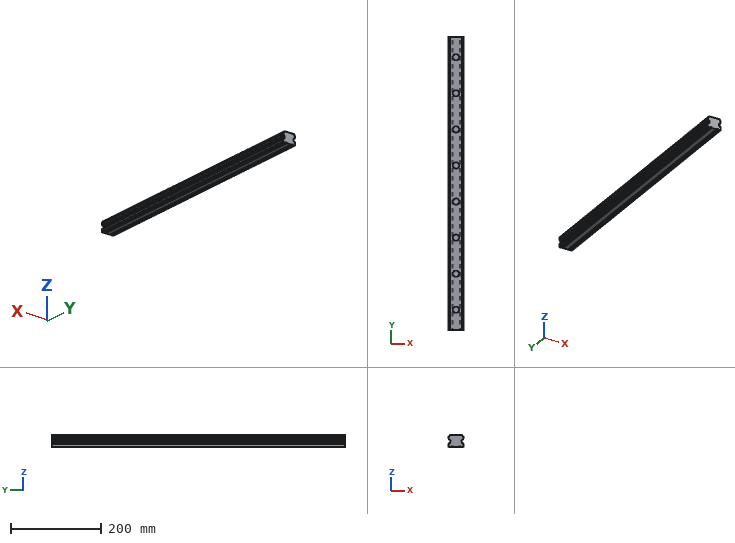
import cadquery as cq

rail_length = 650.0
rail_width = 34.0
rail_height = 27.5

half_width = rail_width / 2
top_half_width = 12.6
crown_half_width = 14.3
crown_height = 26.3
head_side_top = 22.9
head_side_bottom = 20.3
corner_groove_sag = 0.7

shoulder_half_width = 14.9
shoulder_height = 16.6
waist_half_width = 12.5
waist_top = 15.0
waist_bottom = 12.5
neck_half_width = 13.3
neck_height = 10.2

foot_side_top = 7.0
foot_chamfer = 1.5

groove_offset = 8.5
groove_width = 2.6
groove_depth = 1.5

hole_count = 8
hole_pitch = 80.0
hole_diameter = 14.0
recess_depth = 0.5


def make_rail():
    """Extrude the symmetric rail cross-section along Y, centred on the origin."""
    right_side = [
        (half_width - foot_chamfer, 0),
        (half_width, foot_chamfer),
        (half_width, foot_side_top),
        (neck_half_width, neck_height),
        (neck_half_width, waist_bottom),
        (waist_half_width, waist_bottom),
        (waist_half_width, waist_top),
        (shoulder_half_width, shoulder_height),
        (half_width, head_side_bottom),
        (half_width, head_side_top),
    ]
    left_side = [(-x, z) for x, z in reversed(right_side)]
    section = (
        cq.Workplane("XZ")
        .polyline(right_side)
        .sagittaArc((crown_half_width, crown_height), corner_groove_sag)
        .lineTo(top_half_width, rail_height)
        .lineTo(-top_half_width, rail_height)
        .lineTo(-crown_half_width, crown_height)
        .sagittaArc((-half_width, head_side_top), corner_groove_sag)
        .polyline(left_side[1:], includeCurrent=True)
        .close()
    )
    return section.extrude(rail_length / 2, both=True)


def make_grooves():
    """Rectangular grooves along the full length of the underside."""
    return (
        cq.Workplane("XY")
        .pushPoints([(-groove_offset, 0), (groove_offset, 0)])
        .rect(groove_width, rail_length)
        .extrude(groove_depth)
    )


def make_recesses():
    """Round recesses evenly pitched along the top, centred on the length."""
    return (
        cq.Workplane("XY")
        .workplane(offset=rail_height - recess_depth)
        .rarray(1, hole_pitch, 1, hole_count)
        .circle(hole_diameter / 2)
        .extrude(recess_depth)
    )


result = make_rail().cut(make_grooves()).cut(make_recesses())